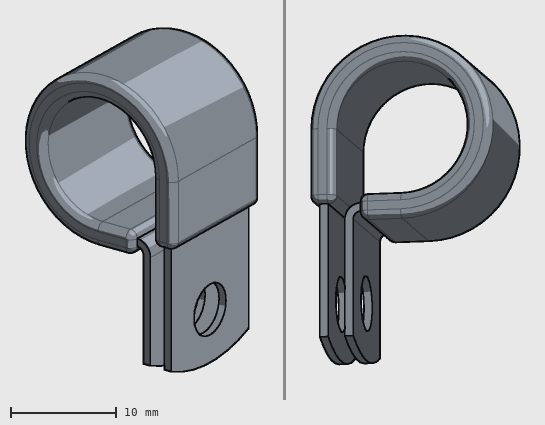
import cadquery as cq
import math

total_height = 29.93
ring_outer_diameter = 17.5
cushion_width = 14.28
cushion_thickness = 2.42
cushion_rounding = 0.78
side_leg_length = 7.12

strap_width = 12.7
strap_thickness = 0.8
tab_gap = 1.62
bend_inner_radius = 0.72
tip_rise = 1.32
hole_diameter = 5.2
hole_drop = 15.68

ring_outer_radius = ring_outer_diameter / 2
ring_inner_radius = ring_outer_radius - cushion_thickness
band_mid_radius = (ring_outer_radius + ring_inner_radius) / 2
tip_z = ring_outer_radius - total_height
right_tab_x = band_mid_radius - strap_thickness / 2
left_tab_x = right_tab_x - tab_gap - strap_thickness
bottom_leg_length = left_tab_x - bend_inner_radius
diagonal = math.sqrt(0.5)
selection_margin = 0.3


def make_cushion():
    """Three-quarter ring with two straight legs and rounded edges."""
    outer_mid = (-ring_outer_radius * diagonal, ring_outer_radius * diagonal)
    inner_mid = (-ring_inner_radius * diagonal, ring_inner_radius * diagonal)
    band = (
        cq.Workplane("XZ")
        .moveTo(ring_outer_radius, -side_leg_length)
        .lineTo(ring_outer_radius, 0)
        .threePointArc(outer_mid, (0, -ring_outer_radius))
        .lineTo(bottom_leg_length, -ring_outer_radius)
        .lineTo(bottom_leg_length, -ring_inner_radius)
        .lineTo(0, -ring_inner_radius)
        .threePointArc(inner_mid, (ring_inner_radius, 0))
        .lineTo(ring_inner_radius, -side_leg_length)
        .close()
        .extrude(cushion_width / 2, both=True)
    )
    side_end = cq.selectors.BoxSelector(
        (0, -cushion_width, -side_leg_length - selection_margin),
        (ring_outer_radius + selection_margin, cushion_width, -side_leg_length + selection_margin),
    )
    bottom_end = cq.selectors.BoxSelector(
        (bottom_leg_length - selection_margin, -cushion_width, -ring_outer_radius - selection_margin),
        (bottom_leg_length + selection_margin, cushion_width, -ring_inner_radius + selection_margin),
    )
    rims = cq.selectors.StringSyntaxSelector("#Y")
    return band.edges(rims + side_end + bottom_end).fillet(cushion_rounding)


def make_tab(x, top_z):
    """Flat tab with an arc-shaped lower end, starting at x."""
    half_width = strap_width / 2
    return (
        cq.Workplane("YZ", origin=(x, 0, 0))
        .moveTo(-half_width, top_z)
        .lineTo(-half_width, tip_z + tip_rise)
        .threePointArc((0, tip_z), (half_width, tip_z + tip_rise))
        .lineTo(half_width, top_z)
        .close()
        .moveTo(0, -hole_drop)
        .circle(hole_diameter / 2)
        .extrude(strap_thickness)
    )


def make_bend():
    """Strap leaving the bottom leg and turning down into the left tab."""
    outer_radius = bend_inner_radius + strap_thickness
    center_x = bottom_leg_length
    top_z = -band_mid_radius + strap_thickness / 2
    center_z = top_z - outer_radius
    embedded_x = bottom_leg_length - cushion_rounding
    outer_mid = (center_x + outer_radius * diagonal, center_z + outer_radius * diagonal)
    inner_mid = (center_x + bend_inner_radius * diagonal, center_z + bend_inner_radius * diagonal)
    bend = (
        cq.Workplane("XZ")
        .moveTo(embedded_x, top_z)
        .lineTo(center_x, top_z)
        .threePointArc(outer_mid, (center_x + outer_radius, center_z))
        .lineTo(left_tab_x, center_z)
        .threePointArc(inner_mid, (center_x, top_z - strap_thickness))
        .lineTo(embedded_x, top_z - strap_thickness)
        .close()
        .extrude(strap_width / 2, both=True)
    )
    return bend, center_z


bend, left_tab_top = make_bend()
left_tab = make_tab(left_tab_x, left_tab_top)
right_tab = make_tab(right_tab_x, -side_leg_length + cushion_rounding)

result = make_cushion().union(bend).union(left_tab).union(right_tab)